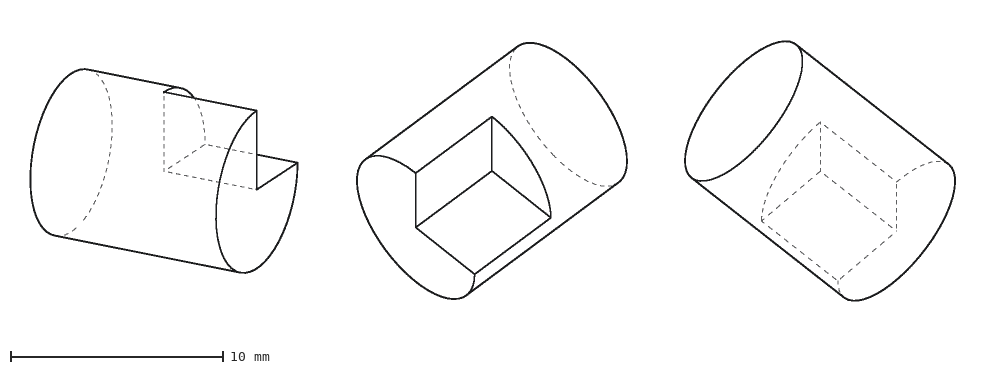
import cadquery as cq

length = 10.0
diameter = 8.0

radius = diameter / 2
notch_length = length / 2

bar = cq.Workplane("YZ").circle(radius).extrude(length)

notch = (
    cq.Workplane("XY")
    .box(notch_length, radius, radius, centered=False)
    .translate((length - notch_length, 0, 0))
)

result = bar.cut(notch)